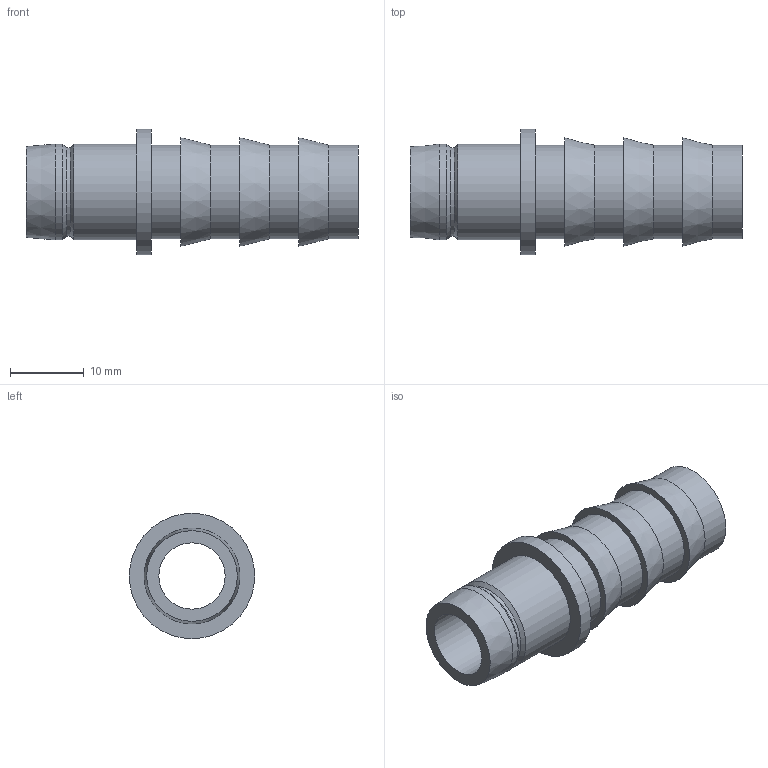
import cadquery as cq
import math

LENGTH = 45.0
BORE_RADIUS = 4.5

SPIGOT_RADIUS = 6.5
NOSE_RADIUS = 6.15
NOSE_LENGTH = 4.0
GROOVE_CENTRE = 5.75
GROOVE_WIDTH = 1.5
GROOVE_DEPTH = 0.5
GROOVE_WALL_ANGLE = 45.0

FLANGE_START = 15.0
FLANGE_THICKNESS = 2.0
FLANGE_RADIUS = 8.5

TAIL_RADIUS = 6.35
BARB_RADIUS = 7.35
BARB_LENGTH = 4.0
PLAIN_LENGTH = 4.0
BARB_PITCH = BARB_LENGTH + PLAIN_LENGTH
BARB_COUNT = 3
TAIL_START = FLANGE_START + FLANGE_THICKNESS
FIRST_BARB_START = TAIL_START + PLAIN_LENGTH


def cylinder(start, length, radius):
    """Solid cylinder along X."""
    return cq.Workplane("YZ", origin=(start, 0, 0)).circle(radius).extrude(length)


def cone(start, length, start_radius, end_radius):
    """Solid truncated cone along X."""
    axis = cq.Vector(1, 0, 0)
    return cq.Workplane(cq.Solid.makeCone(start_radius, end_radius, length, cq.Vector(start, 0, 0), axis))


def spigot():
    """Straight spigot with its tapered nose."""
    nose = cone(0, NOSE_LENGTH, NOSE_RADIUS, SPIGOT_RADIUS)
    shank = cylinder(NOSE_LENGTH, FLANGE_START - NOSE_LENGTH, SPIGOT_RADIUS)
    return nose.union(shank)


def groove_ring():
    """Ring removed to form the groove, with walls sloped towards its flat floor."""
    half_width = GROOVE_WIDTH / 2
    half_floor = half_width - GROOVE_DEPTH / math.tan(math.radians(GROOVE_WALL_ANGLE))
    floor_radius = SPIGOT_RADIUS - GROOVE_DEPTH
    profile = (
        cq.Workplane("XY")
        .moveTo(GROOVE_CENTRE - half_width, SPIGOT_RADIUS)
        .lineTo(GROOVE_CENTRE - half_floor, floor_radius)
        .lineTo(GROOVE_CENTRE + half_floor, floor_radius)
        .lineTo(GROOVE_CENTRE + half_width, SPIGOT_RADIUS)
        .lineTo(GROOVE_CENTRE + half_width, FLANGE_RADIUS)
        .lineTo(GROOVE_CENTRE - half_width, FLANGE_RADIUS)
        .close()
    )
    return profile.revolve(360, (0, 0, 0), (1, 0, 0))


def hose_tail():
    """Tail tube with its barbs."""
    tail = cylinder(TAIL_START, LENGTH - TAIL_START, TAIL_RADIUS)
    for index in range(BARB_COUNT):
        barb_start = FIRST_BARB_START + index * BARB_PITCH
        tail = tail.union(cone(barb_start, BARB_LENGTH, BARB_RADIUS, TAIL_RADIUS))
    return tail


flange = cylinder(FLANGE_START, FLANGE_THICKNESS, FLANGE_RADIUS)
bore = cylinder(0, LENGTH, BORE_RADIUS)
result = spigot().cut(groove_ring()).union(flange).union(hose_tail()).cut(bore)